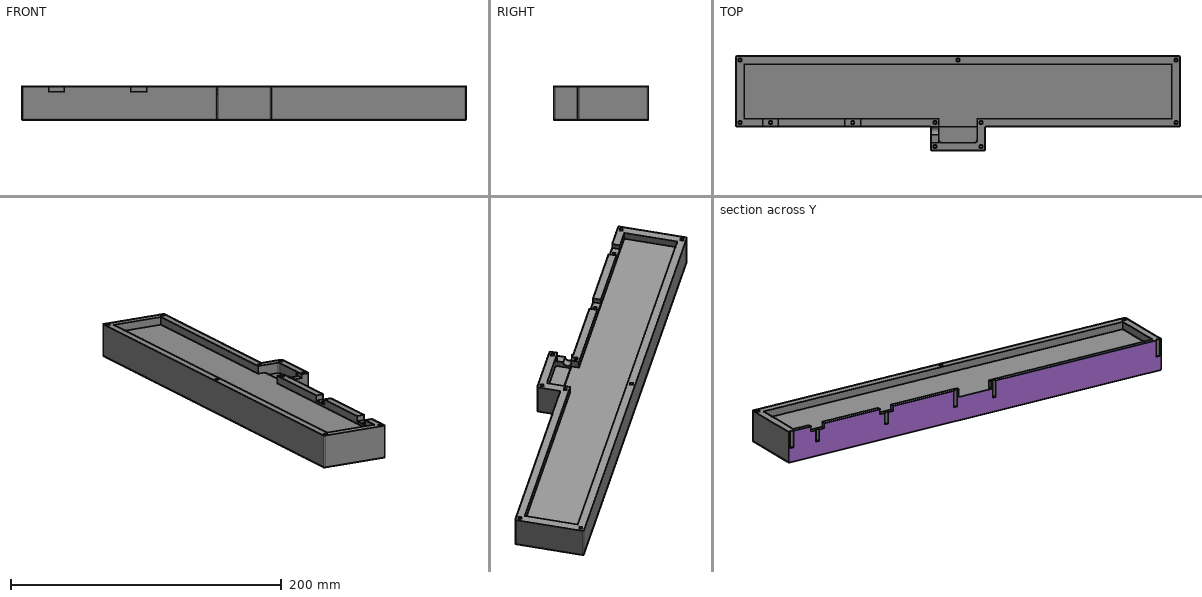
import cadquery as cq

length = 328.0
total_width = 70.0
height = 25.0
box_depth = 17.7
tray_width = total_width - box_depth
box_length = 40.0
screw_inset = 3.0
wall = 2 * screw_inset
edge_radius = 1.0

tray_depth = 6.0
box_recess_depth = 8.0
neck_length = box_length - 2 * wall
recess_corner_radius = 1.3

notch_length = 11.5
notch_depth = 4.0
notch_positions = [-138.5, -77.7]

cable_diameter = wall
passage_depth = cable_diameter / 2

screw_diameter = 2.45
screw_depth = 13.0


def block(x_start, x_end, y_start, y_end, z_start, z_end):
    """Rectangular block between two opposite corners."""
    return cq.Workplane("XY").box(
        x_end - x_start, y_end - y_start, z_end - z_start, centered=False
    ).translate((x_start, y_start, z_start))


def make_body():
    """T-shaped solid with rounded upright and bottom edges."""
    tray = block(-length / 2, length / 2, 0, tray_width, 0, height)
    box = block(-box_length / 2, box_length / 2, -box_depth, wall, 0, height)
    body = tray.union(box).clean()
    return body.edges("|Z").fillet(edge_radius).faces("<Z").edges().fillet(edge_radius)


def make_recesses():
    """Long tray recess joined by a neck to the deeper recess of the box."""
    floor = height - tray_depth
    half_tray = length / 2 - wall
    half_neck = neck_length / 2
    tray = block(-half_tray, half_tray, wall, tray_width - wall, floor, height)
    neck = block(-half_neck, half_neck, 0, wall, floor, height)
    box = block(-half_neck, half_neck, wall - box_depth, 0, height - box_recess_depth, height)
    box = box.edges("|Z and <Y").fillet(recess_corner_radius)
    return tray.union(neck).union(box)


def make_notch(x_center):
    """Rectangular gap in the top of the front wall."""
    half_length = notch_length / 2
    return block(x_center - half_length, x_center + half_length, 0, wall, height - notch_depth, height)


def make_cable_passage():
    """Shallow gap in the left box wall with a half-round cable groove beside the tray."""
    left = -box_length / 2
    floor = height - passage_depth
    gap = block(left, left + wall, wall - box_depth, 0, floor, height)
    groove = (
        cq.Workplane("YZ", origin=(left, -cable_diameter / 2, floor))
        .circle(cable_diameter / 2)
        .extrude(wall)
    )
    return gap.union(groove)


def make_screw_holes():
    """Blind holes around the rim, in the notches and at the box corners."""
    end_x = length / 2 - screw_inset
    box_x = box_length / 2 - screw_inset
    back_y = tray_width - screw_inset
    box_y = screw_inset - box_depth
    back_points = [(x, back_y) for x in (-end_x, 0, end_x)]
    front_points = [(x, screw_inset) for x in (-end_x, *notch_positions, -box_x, box_x, end_x)]
    box_points = [(x, box_y) for x in (-box_x, box_x)]
    return (
        cq.Workplane("XY", origin=(0, 0, height - screw_depth))
        .pushPoints(back_points + front_points + box_points)
        .circle(screw_diameter / 2)
        .extrude(screw_depth)
    )


result = make_body().cut(make_recesses())
for notch_x in notch_positions:
    result = result.cut(make_notch(notch_x))
result = result.cut(make_cable_passage()).cut(make_screw_holes())